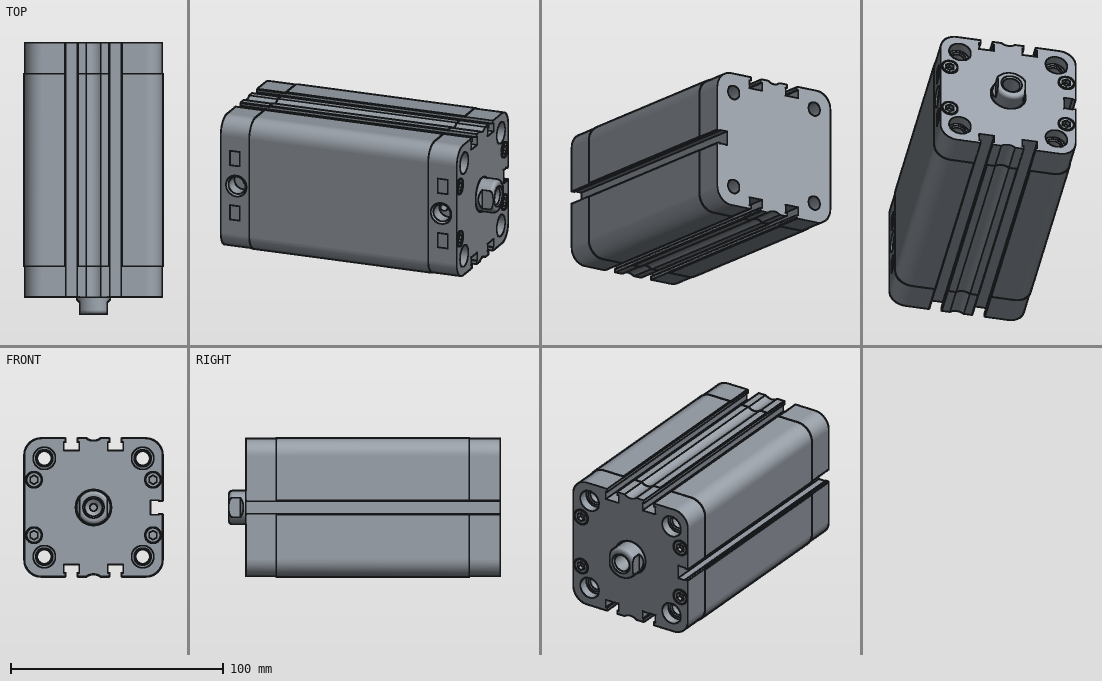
import cadquery as cq
import math


TOTAL_LENGTH = 128.0
ROD_REACH = 8.0
HOUSING_LENGTH = TOTAL_LENGTH - ROD_REACH
FRONT_CAP_LENGTH = 14.5
REAR_CAP_LENGTH = 14.6
TUBE_LENGTH = HOUSING_LENGTH - FRONT_CAP_LENGTH - REAR_CAP_LENGTH

TUBE_WIDTH = 65.5
CAP_WIDTH = 65.0
TUBE_CORNER_RADIUS = 8.2
CAP_INSET = (TUBE_WIDTH - CAP_WIDTH) / 2
CAP_CORNER_RADIUS = TUBE_CORNER_RADIUS - CAP_INSET

SLOT_OFFSET = 10.4
SLOT_MOUTH = 5.6
SLOT_WIDTH = 7.2
SLOT_LIP = 1.9
SLOT_DEPTH = 5.9
SLOT_MOUTH_CHAMFER = 0.4
SIDE_SLOT_MOUTH = 6.0
SIDE_SLOT_WIDTH = 6.7

GROOVE_WIDTH = 6.7
GROOVE_RADIUS = 5.2

CORNER_HOLE_OFFSET = 23.2
CORNER_HOLE_DIAMETER = 6.7
CORNER_LEAD_IN_DIAMETER = 8.0
COUNTERBORE_DIAMETER = 10.5
COUNTERBORE_DEPTH = 5.0

SCREW_X = 28.0
SCREW_Z = 13.0
SCREW_HEAD_DIAMETER = 7.7
SCREW_HEAD_CHAMFER = 0.4
HEX_ACROSS_FLATS = 3.7
HEX_DEPTH = 2.5

PORT_DIAMETER = 8.6
PORT_MOUTH_DIAMETER = 10.5
PORT_DEPTH = 8.3
DUCT_DIAMETER = 3.5
DUCT_DEPTH = 15.4
DUCT_SHIFT = 1.9
PORT_FROM_FACE = 8.0

LABEL_Z = 13.6
LABEL_LENGTH = 5.0
LABEL_HEIGHT = 7.2
LABEL_DEPTH = 0.3
LABEL_FROM_FACE = 7.2

ROD_DIAMETER = 16.0
ROD_SOCKET_MOUTH_DIAMETER = 17.0
ROD_SOCKET_DEPTH = FRONT_CAP_LENGTH
ROD_FILLET = 1.9
ROD_ACROSS_FLATS = 13.0
ROD_FLAT_LENGTH = 5.5
ROD_BORE_DIAMETER = 8.3
ROD_BORE_MOUTH_DIAMETER = 10.0
ROD_BORE_DEPTH = 12.8
ROD_BORE_TIP_DIAMETER = 3.5
DRILL_POINT_ANGLE = 118.0


def rounded_bar(width, corner_radius, y_start, length):
    """Square bar along Y with rounded long edges."""
    return (
        cq.Workplane("XY")
        .box(width, length, width)
        .edges("|Y")
        .fillet(corner_radius)
        .translate((0, y_start + length / 2, 0))
    )


def y_cylinder(diameter, x, z, y_start, length):
    """Cylinder along +Y from y_start."""
    return cq.Workplane(
        cq.Solid.makeCylinder(diameter / 2, length, cq.Vector(x, y_start, z), cq.Vector(0, 1, 0))
    )


def y_cone(start_diameter, end_diameter, x, z, y_start, length):
    """Truncated cone along +Y from y_start."""
    return cq.Workplane(
        cq.Solid.makeCone(
            start_diameter / 2, end_diameter / 2, length, cq.Vector(x, y_start, z), cq.Vector(0, 1, 0)
        )
    )


def chamfer_depth(outer_diameter, inner_diameter):
    """Depth of a 45 degree countersink between two diameters."""
    return (outer_diameter - inner_diameter) / 2


def mouth_chamfer(mouth, part_width, y_start, length):
    """Cutter that bevels both mouth edges of a slot in the top face at x = 0."""
    surface = part_width / 2
    half_mouth = mouth / 2
    return (
        cq.Workplane("XZ", origin=(0, y_start, 0))
        .moveTo(-half_mouth - SLOT_MOUTH_CHAMFER, surface)
        .lineTo(half_mouth + SLOT_MOUTH_CHAMFER, surface)
        .lineTo(half_mouth, surface - SLOT_MOUTH_CHAMFER)
        .lineTo(-half_mouth, surface - SLOT_MOUTH_CHAMFER)
        .close()
        .extrude(-length)
    )


def t_slot(mouth, width):
    """T-slot cutter over the whole housing length, in the top face at x = 0.

    The mouth is bevelled along the tube and the rear cap and sharp along the front cap.
    """
    surface = TUBE_WIDTH / 2
    middle = HOUSING_LENGTH / 2
    neck = cq.Workplane("XY").box(mouth, HOUSING_LENGTH, SLOT_DEPTH)
    neck = neck.translate((0, middle, surface - SLOT_DEPTH / 2))
    chamber_height = SLOT_DEPTH - SLOT_LIP
    chamber = cq.Workplane("XY").box(width, HOUSING_LENGTH, chamber_height)
    chamber = chamber.translate((0, middle, surface - SLOT_DEPTH + chamber_height / 2))
    tube_bevel = mouth_chamfer(mouth, TUBE_WIDTH, FRONT_CAP_LENGTH, TUBE_LENGTH)
    rear_bevel = mouth_chamfer(mouth, CAP_WIDTH, FRONT_CAP_LENGTH + TUBE_LENGTH, REAR_CAP_LENGTH)
    return neck.union(chamber).union(tube_bevel).union(rear_bevel)


def turned(cutter, angle):
    """Cutter turned about the cylinder axis."""
    return cutter.rotate((0, 0, 0), (0, 1, 0), angle)


def round_groove(part_width, y_start, length):
    """Groove cutter for the top face of one section of the housing."""
    centre_height = math.sqrt(GROOVE_RADIUS**2 - (GROOVE_WIDTH / 2) ** 2)
    return y_cylinder(2 * GROOVE_RADIUS, 0, part_width / 2 + centre_height, y_start, length)


def housing_section(width, corner_radius, y_start, length):
    """One length of the housing, grooved along its top and bottom."""
    groove = round_groove(width, y_start, length)
    return rounded_bar(width, corner_radius, y_start, length).cut(groove).cut(turned(groove, 180))


def corner_hole(x, z):
    """Through hole with a counterbore and a tapered lead-in at the front."""
    lead_in = chamfer_depth(CORNER_LEAD_IN_DIAMETER, CORNER_HOLE_DIAMETER)
    hole = y_cylinder(CORNER_HOLE_DIAMETER, x, z, 0, HOUSING_LENGTH)
    taper = y_cone(CORNER_LEAD_IN_DIAMETER, CORNER_HOLE_DIAMETER, x, z, COUNTERBORE_DEPTH, lead_in)
    counterbore = y_cylinder(COUNTERBORE_DIAMETER, x, z, 0, COUNTERBORE_DEPTH)
    return hole.union(taper).union(counterbore)


def screw_outline(x, z):
    """V-groove around the flush, chamfered screw head, with the hexagon socket in its middle."""
    top_diameter = SCREW_HEAD_DIAMETER - 2 * SCREW_HEAD_CHAMFER
    disc = y_cylinder(SCREW_HEAD_DIAMETER, x, z, 0, SCREW_HEAD_CHAMFER)
    head = y_cone(top_diameter, SCREW_HEAD_DIAMETER, x, z, 0, SCREW_HEAD_CHAMFER)
    across_corners = HEX_ACROSS_FLATS / math.cos(math.pi / 6)
    socket = (
        cq.Workplane("XY")
        .polygon(6, across_corners)
        .extrude(HEX_DEPTH)
        .rotate((0, 0, 0), (0, 0, 1), 90)
        .rotate((0, 0, 0), (1, 0, 0), -90)
        .translate((x, 0, z))
    )
    return disc.cut(head).union(socket)


def x_cylinder(diameter, y, depth):
    """Cylinder from the -X side of the end caps inwards."""
    return cq.Workplane(
        cq.Solid.makeCylinder(diameter / 2, depth, cq.Vector(-CAP_WIDTH / 2, y, 0), cq.Vector(1, 0, 0))
    )


def x_cone(start_diameter, end_diameter, y, depth):
    """Truncated cone from the -X side of the end caps inwards."""
    return cq.Workplane(
        cq.Solid.makeCone(
            start_diameter / 2, end_diameter / 2, depth, cq.Vector(-CAP_WIDTH / 2, y, 0), cq.Vector(1, 0, 0)
        )
    )


def air_port(y, duct_y):
    """Port with a countersunk mouth and an eccentric duct at its bottom."""
    mouth_depth = chamfer_depth(PORT_MOUTH_DIAMETER, PORT_DIAMETER)
    mouth = x_cone(PORT_MOUTH_DIAMETER, PORT_DIAMETER, y, mouth_depth)
    bore = x_cylinder(PORT_DIAMETER, y, PORT_DEPTH)
    duct = x_cylinder(DUCT_DIAMETER, duct_y, DUCT_DEPTH)
    return mouth.union(bore).union(duct)


def label_recess(y, z):
    """Shallow rectangular recess in the -X side of an end cap."""
    recess = cq.Workplane("XY").box(LABEL_DEPTH, LABEL_LENGTH, LABEL_HEIGHT)
    return recess.translate((-CAP_WIDTH / 2 + LABEL_DEPTH / 2, y, z))


def make_housing():
    """Tube with its two end caps as one solid, with all slots, holes and recesses."""
    tube_end = FRONT_CAP_LENGTH + TUBE_LENGTH
    front_cap = housing_section(CAP_WIDTH, CAP_CORNER_RADIUS, 0, FRONT_CAP_LENGTH)
    tube = housing_section(TUBE_WIDTH, TUBE_CORNER_RADIUS, FRONT_CAP_LENGTH, TUBE_LENGTH)
    rear_cap = housing_section(CAP_WIDTH, CAP_CORNER_RADIUS, tube_end, REAR_CAP_LENGTH)
    body = front_cap.union(tube).union(rear_cap)

    slot = t_slot(SLOT_MOUTH, SLOT_WIDTH)
    for x in (-SLOT_OFFSET, SLOT_OFFSET):
        for angle in (0, 180):
            body = body.cut(turned(slot.translate((x, 0, 0)), angle))
    body = body.cut(turned(t_slot(SIDE_SLOT_MOUTH, SIDE_SLOT_WIDTH), 90))

    for x_sign in (-1, 1):
        for z_sign in (-1, 1):
            body = body.cut(corner_hole(x_sign * CORNER_HOLE_OFFSET, z_sign * CORNER_HOLE_OFFSET))
            body = body.cut(screw_outline(x_sign * SCREW_X, z_sign * SCREW_Z))

    front_port_y = PORT_FROM_FACE
    rear_port_y = HOUSING_LENGTH - PORT_FROM_FACE
    body = body.cut(air_port(front_port_y, front_port_y + DUCT_SHIFT))
    body = body.cut(air_port(rear_port_y, rear_port_y - DUCT_SHIFT))
    for y in (LABEL_FROM_FACE, HOUSING_LENGTH - LABEL_FROM_FACE):
        for z in (-LABEL_Z, LABEL_Z):
            body = body.cut(label_recess(y, z))

    mouth_depth = chamfer_depth(ROD_SOCKET_MOUTH_DIAMETER, ROD_DIAMETER)
    body = body.cut(y_cylinder(ROD_DIAMETER, 0, 0, 0, ROD_SOCKET_DEPTH))
    return body.cut(y_cone(ROD_SOCKET_MOUTH_DIAMETER, ROD_DIAMETER, 0, 0, 0, mouth_depth))


def rod_flat_cutter():
    """Prism that cuts the wrench flat on the +X side and its 45 degree run-out."""
    flat_x = ROD_ACROSS_FLATS / 2
    flat_end = -ROD_REACH + ROD_FLAT_LENGTH
    run_out = ROD_DIAMETER / 2
    return (
        cq.Workplane("XY")
        .moveTo(flat_x, -ROD_REACH)
        .lineTo(flat_x, flat_end)
        .lineTo(flat_x + run_out, flat_end + run_out)
        .lineTo(flat_x + run_out, -ROD_REACH)
        .close()
        .extrude(ROD_DIAMETER / 2, both=True)
    )


def make_piston_rod():
    """Rod end with wrench flats and a blind bore, seated in the front cap."""
    tip_y = -ROD_REACH
    rod = y_cylinder(ROD_DIAMETER, 0, 0, tip_y, ROD_REACH + ROD_SOCKET_DEPTH)
    rod = rod.faces("<Y").edges().fillet(ROD_FILLET)

    flat = rod_flat_cutter()
    rod = rod.cut(flat).cut(flat.mirror("YZ"))

    mouth_depth = chamfer_depth(ROD_BORE_MOUTH_DIAMETER, ROD_BORE_DIAMETER)
    half_angle = math.radians(DRILL_POINT_ANGLE / 2)
    point_depth = (ROD_BORE_DIAMETER - ROD_BORE_TIP_DIAMETER) / 2 / math.tan(half_angle)
    bore = y_cylinder(ROD_BORE_DIAMETER, 0, 0, tip_y, ROD_BORE_DEPTH)
    mouth = y_cone(ROD_BORE_MOUTH_DIAMETER, ROD_BORE_DIAMETER, 0, 0, tip_y, mouth_depth)
    point = y_cone(ROD_BORE_DIAMETER, ROD_BORE_TIP_DIAMETER, 0, 0, tip_y + ROD_BORE_DEPTH, point_depth)
    return rod.cut(bore).cut(mouth).cut(point)


housing = make_housing()
piston_rod = make_piston_rod()
result = cq.Compound.makeCompound([housing.val(), piston_rod.val()])